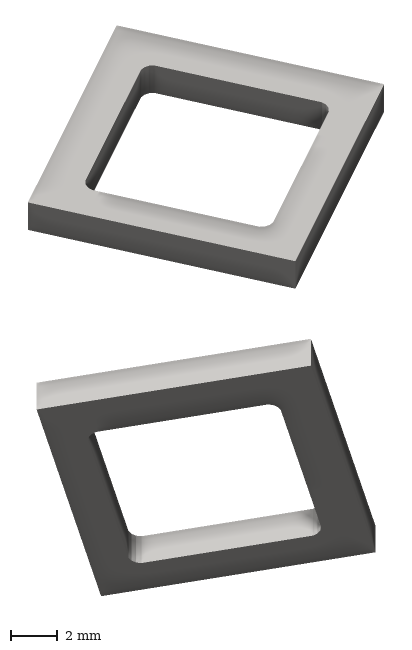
import math

import cadquery as cq

plate_side = 12.0
plate_thickness = 1.56

window_side = 8.43
window_offset_x = 0.1
window_offset_y = -0.16

polygon_sides = 16
polygon_radius = 0.58
polygon_step = 360 / polygon_sides
polygon_wall_distance = polygon_radius * math.cos(math.radians(polygon_step / 2))
flats_per_corner = polygon_sides // 4 - 1


def make_plate():
    return cq.Workplane("XY").rect(plate_side, plate_side).extrude(plate_thickness)


def corner_points(sign_x, sign_y, wall_angle):
    """Ends of the flats in one window corner, counter-clockwise; wall_angle points at the first wall."""
    centre_distance = window_side / 2 - polygon_wall_distance
    centre_x = window_offset_x + sign_x * centre_distance
    centre_y = window_offset_y + sign_y * centre_distance
    points = []
    for i in range(flats_per_corner + 1):
        angle = math.radians(wall_angle + (i + 0.5) * polygon_step)
        x = centre_x + polygon_radius * math.cos(angle)
        y = centre_y + polygon_radius * math.sin(angle)
        points.append((x, y))
    return points


def make_window():
    """Prism that cuts the window through the full plate thickness."""
    outline = (
        corner_points(1, 1, 0)
        + corner_points(-1, 1, 90)
        + corner_points(-1, -1, 180)
        + corner_points(1, -1, 270)
    )
    return cq.Workplane("XY").polyline(outline).close().extrude(plate_thickness)


result = make_plate().cut(make_window())